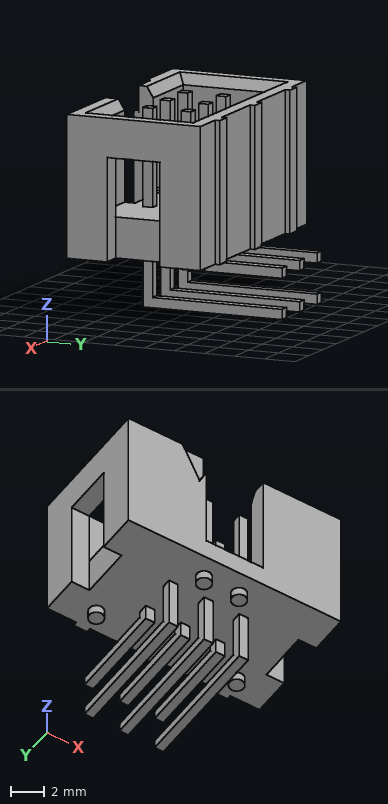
import cadquery as cq


length = 15.4
overall_depth = 12.1
overall_height = 12.52

shroud_depth = 8.9
shroud_height = 8.87
wall = 1.3
floor_top = 2.54
rim_wall = 0.88
rim_bevel_height = 0.68
mid_y = shroud_depth / 2

notch_width = 4.1
notch_depth = 1.99
notch_bottom = 1.45

arrow_half_width = 1.25
arrow_height = 2 * arrow_half_width
arrow_depth = 0.31

window_width = 3.5
window_top = 6.44

rib_width = 1.0
rib_depth = 0.31

pitch = 2.54
columns = 3
pin_width = 0.65
pin_recess = 0.23
pin_top = shroud_height - pin_recess
lowest_pin_bottom = shroud_height - overall_height

peg_diameter = 1.0
peg_height = 0.59
peg_row_offset = 3.0

wide_spacing = 2 * pitch

column_xs = [(i - (columns - 1) / 2) * pitch for i in range(columns)]


def box(x_min, x_max, y_min, y_max, z_min, z_max):
    """Axis-aligned block between the given limits."""
    size = (x_max - x_min, y_max - y_min, z_max - z_min)
    return cq.Workplane("XY").box(*size, centered=False).translate((x_min, y_min, z_min))


def make_cavity():
    """Open mating cavity with a bevelled rim."""
    inner_length = length - 2 * wall
    inner_depth = shroud_depth - 2 * wall
    bevel_bottom = shroud_height - rim_bevel_height
    well = box(-inner_length / 2, inner_length / 2, wall, wall + inner_depth, floor_top, shroud_height)
    bevel = (
        cq.Workplane("XY", origin=(0, mid_y, bevel_bottom))
        .rect(inner_length, inner_depth)
        .workplane(offset=rim_bevel_height)
        .rect(length - 2 * rim_wall, shroud_depth - 2 * rim_wall)
        .loft(ruled=True)
    )
    return well.union(bevel)


def make_notch():
    """Key notch, cut through the front wall and slightly into the floor."""
    return box(-notch_width / 2, notch_width / 2, 0, notch_depth, notch_bottom, shroud_height)


def make_arrow():
    """Shallow triangle pointing down at the first pin column."""
    tip_x = column_xs[0]
    corners = [
        (tip_x - arrow_half_width, shroud_height),
        (tip_x, shroud_height - arrow_height),
        (tip_x + arrow_half_width, shroud_height),
    ]
    return cq.Workplane("XZ").polyline(corners).close().extrude(-arrow_depth)


def make_window(x_min):
    """Opening in one end wall that continues down to the underside."""
    return box(x_min, x_min + wall, mid_y - window_width / 2, mid_y + window_width / 2, 0, window_top)


def make_rib(x):
    """Full-height rib on the back face."""
    return box(x - rib_width / 2, x + rib_width / 2, shroud_depth, shroud_depth + rib_depth, 0, shroud_height)


def make_pin(x, y, tail_bottom):
    """Square pin bent backwards below the shroud."""
    left = x - pin_width / 2
    right = x + pin_width / 2
    front = y - pin_width / 2
    post = box(left, right, front, front + pin_width, tail_bottom, pin_top)
    tail = box(left, right, front, overall_depth, tail_bottom, tail_bottom + pin_width)
    return post.union(tail)


def make_pegs():
    """Round standoffs: a close pair at the front and a wide pair at the back."""
    front_y = mid_y - peg_row_offset
    back_y = mid_y + peg_row_offset
    centers = [(side * pitch / 2, front_y) for side in (-1, 1)]
    centers += [(side * wide_spacing, back_y) for side in (-1, 1)]
    return cq.Workplane("XY").pushPoints(centers).circle(peg_diameter / 2).extrude(-peg_height)


result = box(-length / 2, length / 2, 0, shroud_depth, 0, shroud_height)
result = result.cut(make_cavity()).cut(make_notch()).cut(make_arrow())
for window_x in (-length / 2, length / 2 - wall):
    result = result.cut(make_window(window_x))

for rib_x in (-wide_spacing, 0, wide_spacing):
    result = result.union(make_rib(rib_x))
result = result.union(make_pegs())

for column_x in column_xs:
    result = result.union(make_pin(column_x, mid_y - pitch / 2, lowest_pin_bottom))
    result = result.union(make_pin(column_x, mid_y + pitch / 2, lowest_pin_bottom + pitch))